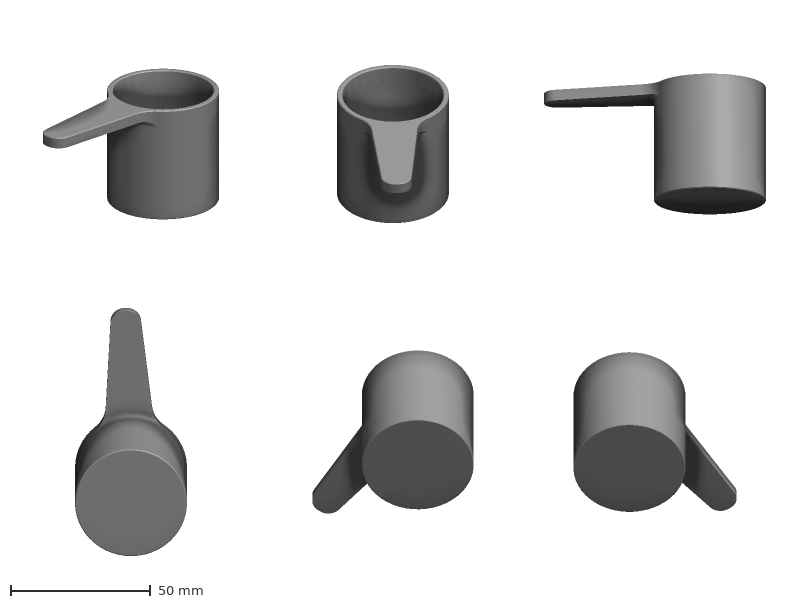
import cadquery as cq
import math

cup_radius = 20.0
cup_height = 42.0
bowl_radius = 18.02
wall = cup_radius - bowl_radius
edge_break = 0.3

handle_angle = 15.0
handle_taper = 5.0
handle_thickness = 4.0
tip_width = 10.1
tip_corner_radius = 5.0
overall_length = 78.2
blend_radius = 10.0
underside_radius = 2.0

taper_sin = math.sin(math.radians(handle_taper))
taper_cos = math.cos(math.radians(handle_taper))

corner_tangent = tip_corner_radius * (1 - taper_sin) / taper_cos
corner_y = tip_width / 2 - corner_tangent
swing = math.radians(handle_angle)
corner_drop = overall_length - cup_radius - tip_corner_radius
corner_x = (corner_drop - corner_y * math.sin(swing)) / math.cos(swing)
handle_length = corner_x + tip_corner_radius


def handle_outline():
    """Half-profiles mirrored about +X: blends, tapered sides and rounded tip."""
    reach = cup_radius + blend_radius
    side_offset = tip_width / 2 * taper_cos + handle_length * taper_sin
    blend_angle = math.asin((side_offset + blend_radius) / reach) - math.radians(handle_taper)
    blend_x = reach * math.cos(blend_angle)
    blend_y = reach * math.sin(blend_angle)

    on_cup = (cup_radius * math.cos(blend_angle), cup_radius * math.sin(blend_angle))
    on_side = (blend_x - blend_radius * taper_sin, blend_y - blend_radius * taper_cos)
    mid_angle = (blend_angle + math.pi + math.radians(270 - handle_taper)) / 2
    blend_mid = (
        blend_x + blend_radius * math.cos(mid_angle),
        blend_y + blend_radius * math.sin(mid_angle),
    )
    corner_start = (corner_x + tip_corner_radius * taper_sin, corner_y + tip_corner_radius * taper_cos)
    corner_mid_angle = math.radians((90 - handle_taper) / 2)
    corner_mid = (
        corner_x + tip_corner_radius * math.cos(corner_mid_angle),
        corner_y + tip_corner_radius * math.sin(corner_mid_angle),
    )
    corner_end = (handle_length, corner_y)

    def mirrored(point):
        return (point[0], -point[1])

    return (
        cq.Workplane("XY")
        .moveTo(0, 0)
        .lineTo(*on_cup)
        .threePointArc(blend_mid, on_side)
        .lineTo(*corner_start)
        .threePointArc(corner_mid, corner_end)
        .lineTo(*mirrored(corner_end))
        .threePointArc(mirrored(corner_mid), mirrored(corner_start))
        .lineTo(*mirrored(on_side))
        .threePointArc(mirrored(blend_mid), mirrored(on_cup))
        .close()
    )


def underside_limit():
    """Round envelope: the cup, the blend flaring out of it, and the handle layer."""
    underside = cup_height - handle_thickness
    handle_end = handle_length + tip_width
    bend = underside_radius * (1 - math.sqrt(0.5))
    return (
        cq.Workplane("XZ")
        .lineTo(cup_radius, 0)
        .lineTo(cup_radius, underside - underside_radius)
        .threePointArc(
            (cup_radius + bend, underside - bend),
            (cup_radius + underside_radius, underside),
        )
        .lineTo(handle_end, underside)
        .lineTo(handle_end, cup_height)
        .lineTo(0, cup_height)
        .close()
        .revolve(360, (0, 0), (0, 1))
    )


def bowl():
    """Half ellipsoid, widest at the rim, with a floor as thick as the rim wall."""
    depth = cup_height - wall
    return (
        cq.Workplane("XZ", origin=(0, 0, cup_height))
        .moveTo(0, -depth)
        .ellipseArc(bowl_radius, depth, 270, 360, startAtCurrent=True)
        .lineTo(0, 0)
        .close()
        .revolve(360, (0, 0), (0, 1))
    )


cup = cq.Workplane("XY").circle(cup_radius).extrude(cup_height)
handle = handle_outline().extrude(cup_height).intersect(underside_limit())
handle = handle.rotate((0, 0, 0), (0, 0, 1), handle_angle - 90)

body = cup.union(handle).cut(bowl())
body = body.faces(">Z").edges().chamfer(edge_break)
result = body.faces("<Z").edges().chamfer(edge_break)